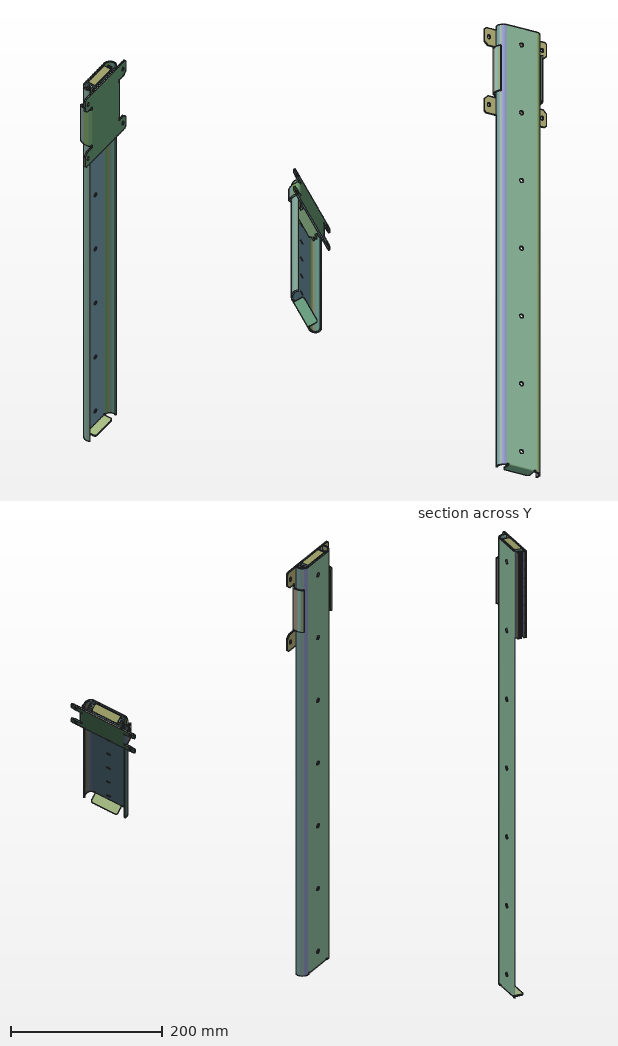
import cadquery as cq
import math

RAIL_LENGTH = 650.0
SLIDE_DEPTH = 18.0

RAIL_THICKNESS = 2.0
RAIL_LIP_X = 14.0
RAIL_WAIST_X = 8.5
RAIL_WAIST_HALF_WIDTH = 34.0
SHOULDER_ANGLE = 49.0
LIP_ANGLE = 118.0
SHOULDER_RADIUS = 8.5
WAIST_RADIUS = 8.5

RAIL_HOLE_DIAMETER = 6.0
RAIL_HOLE_COUNT = 7
RAIL_HOLE_PITCH = 100.0
RAIL_FIRST_HOLE_Z = 25.0

STOP_HALF_WIDTH = 19.5
STOP_REACH_X = 15.5
STOP_BEND_RADIUS = 1.6
STOP_CORNER_RADIUS = 3.0
STOP_RELIEF_WIDTH = 2.0

BRACKET_THICKNESS = 2.0
BRACKET_CENTRE_Z = 584.5
BRACKET_HEIGHT = 125.5
BRACKET_WIDTH = 94.0
EAR_HEIGHT = 25.5
EAR_OUTER_CHAMFER = 2.5
EAR_INNER_CHAMFER = 5.0
EAR_SLOT_WIDTH = 4.0
EAR_SLOT_HEIGHT = 6.0
EAR_SLOT_SPACING_Y = 80.5
EAR_SLOT_SPACING_Z = 100.0

ARM_LENGTH = 66.0
ARM_SPAN = 71.0
ARM_BEND_RADIUS = 4.5
ARM_UPPER_LEAN_X = 8.0
ARM_LOWER_LEAN_X = 4.0
ARM_UPPER_LEAN = 15.0
ARM_LOWER_LEAN = 30.0
HOOK_RETURN_X = 1.0
HOOK_RETURN_ANGLE = 62.0

SLIDER_CORE_X = 2.9
SLIDER_CORE_HALF_WIDTH = 19.0
SLIDER_HALF_WIDTH = 25.5
SLIDER_BASE_THICKNESS = 2.0
RACE_RIB_START_X = 5.0
RACE_RIB_END_X = 11.0
RACE_GROOVE_WIDTH = 2.0
RACE_GROOVE_DEPTH = 4.0

PLATE_X = SLIDE_DEPTH - BRACKET_THICKNESS
BRACKET_TOP_Z = BRACKET_CENTRE_Z + BRACKET_HEIGHT / 2
BRACKET_BOTTOM_Z = BRACKET_CENTRE_Z - BRACKET_HEIGHT / 2
ARM_BOTTOM_Z = BRACKET_CENTRE_Z - ARM_LENGTH / 2
ARM_HALF_SPAN = ARM_SPAN / 2


def cotangent(degrees):
    return 1 / math.tan(math.radians(degrees))


def tangent(degrees):
    return math.tan(math.radians(degrees))


def mirrored(half):
    """Complete a +Y half outline with its mirror image, running from -Y to +Y."""
    return [(x, -y) for x, y in reversed(half)] + half


def inset_line(start, end, distance):
    """Shift a line to its right by a distance; gives a point on it and its direction."""
    length = math.dist(start, end)
    dx = (end[0] - start[0]) / length
    dy = (end[1] - start[1]) / length
    return (start[0] + dy * distance, start[1] - dx * distance), (dx, dy)


def inner_outline(outer, thickness):
    """Offset an open outline by the sheet thickness, with mitred corners."""
    lines = [inset_line(a, b, thickness) for a, b in zip(outer, outer[1:])]
    inner = [lines[0][0]]
    for (p, d), (q, e) in zip(lines, lines[1:]):
        cross = d[0] * e[1] - d[1] * e[0]
        step = ((q[0] - p[0]) * e[1] - (q[1] - p[1]) * e[0]) / cross
        inner.append((p[0] + step * d[0], p[1] + step * d[1]))
    end_x, end_y = outer[-1]
    dx, dy = lines[-1][1]
    inner.append((end_x + dy * thickness, end_y - dx * thickness))
    return inner


def bend_sheet(outer, thickness, bottom_z, length, outer_radii):
    """Extrude a sheet profile along Z and round its bends.

    outer_radii maps the index of an outer corner to the radius on the outside of that bend.
    """
    inner = inner_outline(outer, thickness)
    outline = outer + inner[::-1]
    sheet = cq.Workplane("XY", origin=(0, 0, bottom_z)).polyline(outline).close().extrude(length)
    middle_z = bottom_z + length / 2
    for corner, radius in outer_radii.items():
        for (x, y), bend_radius in ((outer[corner], radius), (inner[corner], radius - thickness)):
            nearest = cq.selectors.NearestToPointSelector((x, y, middle_z))
            sheet = sheet.edges("|Z").edges(nearest).fillet(bend_radius)
    return sheet


def block(x_range, y_range, z_range):
    return cq.Workplane("XY").box(
        x_range[1] - x_range[0],
        y_range[1] - y_range[0],
        z_range[1] - z_range[0],
        centered=False,
    ).translate((x_range[0], y_range[0], z_range[0]))


def rail_profile():
    shoulder_y = RAIL_WAIST_HALF_WIDTH - RAIL_WAIST_X * cotangent(SHOULDER_ANGLE)
    lip_y = RAIL_WAIST_HALF_WIDTH + (RAIL_LIP_X - RAIL_WAIST_X) * cotangent(LIP_ANGLE)
    half = [
        (0, shoulder_y),
        (RAIL_WAIST_X, RAIL_WAIST_HALF_WIDTH),
        (RAIL_LIP_X, lip_y),
    ]
    outer = mirrored(half)
    lower_waist, lower_shoulder, upper_shoulder, upper_waist = 1, 2, 3, 4
    return bend_sheet(
        outer,
        RAIL_THICKNESS,
        0,
        RAIL_LENGTH,
        {
            lower_waist: WAIST_RADIUS,
            lower_shoulder: SHOULDER_RADIUS,
            upper_shoulder: SHOULDER_RADIUS,
            upper_waist: WAIST_RADIUS,
        },
    )


def rail_holes():
    places = [(0, RAIL_FIRST_HOLE_Z + i * RAIL_HOLE_PITCH) for i in range(RAIL_HOLE_COUNT)]
    return (
        cq.Workplane("YZ")
        .pushPoints(places)
        .circle(RAIL_HOLE_DIAMETER / 2)
        .extrude(RAIL_THICKNESS)
    )


def end_stop():
    """Tongue across the lower end, joined to the web by a rounded bend."""
    y_range = (-STOP_HALF_WIDTH, STOP_HALF_WIDTH)
    tongue = block((0, STOP_REACH_X), y_range, (0, RAIL_THICKNESS))
    tongue = tongue.edges("|Z and >X").fillet(STOP_CORNER_RADIUS)
    return tongue.edges("|Y and <X and <Z").fillet(STOP_BEND_RADIUS)


def make_rail():
    rail = rail_profile().cut(rail_holes())
    notch_half_width = STOP_HALF_WIDTH + STOP_RELIEF_WIDTH
    notch = block(
        (0, RAIL_THICKNESS), (-notch_half_width, notch_half_width), (0, RAIL_THICKNESS)
    )
    return rail.cut(notch).union(end_stop())


def hooked_arms():
    """Both arms and the strip of plate between them, bent as one sheet."""
    upper_lean_drop = (ARM_UPPER_LEAN_X - ARM_LOWER_LEAN_X) * tangent(ARM_UPPER_LEAN)
    lower_lean_y = ARM_HALF_SPAN - upper_lean_drop
    tip_y = lower_lean_y - ARM_LOWER_LEAN_X * tangent(ARM_LOWER_LEAN)
    half = [
        (SLIDE_DEPTH, ARM_HALF_SPAN),
        (ARM_UPPER_LEAN_X, ARM_HALF_SPAN),
        (ARM_LOWER_LEAN_X, lower_lean_y),
        (0, tip_y),
        (HOOK_RETURN_X, tip_y - HOOK_RETURN_X * tangent(HOOK_RETURN_ANGLE)),
    ]
    outer = mirrored(half)[::-1]
    upper_bend, lower_bend = len(half) - 1, len(half)
    return bend_sheet(
        outer,
        BRACKET_THICKNESS,
        ARM_BOTTOM_Z,
        ARM_LENGTH,
        {upper_bend: ARM_BEND_RADIUS, lower_bend: ARM_BEND_RADIUS},
    )


def ear_strip(bottom_z, inner_side):
    """A crosswise strip of plate that carries one ear at each end."""
    half_width = BRACKET_WIDTH / 2
    outer_side = "<Z" if inner_side == ">Z" else ">Z"
    strip = block((PLATE_X, SLIDE_DEPTH), (-half_width, half_width), (bottom_z, bottom_z + EAR_HEIGHT))
    strip = strip.faces(inner_side).edges("|X").chamfer(EAR_INNER_CHAMFER)
    return strip.faces(outer_side).edges("|X").chamfer(EAR_OUTER_CHAMFER)


def ear_slots():
    return (
        cq.Workplane("YZ", origin=(PLATE_X, 0, BRACKET_CENTRE_Z))
        .rarray(EAR_SLOT_SPACING_Y, EAR_SLOT_SPACING_Z, 2, 2)
        .slot2D(EAR_SLOT_HEIGHT, EAR_SLOT_WIDTH, 90)
        .extrude(BRACKET_THICKNESS)
    )


def make_bracket():
    neck_half_width = ARM_HALF_SPAN - ARM_BEND_RADIUS
    neck = block(
        (PLATE_X, SLIDE_DEPTH),
        (-neck_half_width, neck_half_width),
        (BRACKET_BOTTOM_Z, BRACKET_TOP_Z),
    )
    bracket = (
        neck.union(hooked_arms())
        .union(ear_strip(BRACKET_BOTTOM_Z, ">Z"))
        .union(ear_strip(BRACKET_TOP_Z - EAR_HEIGHT, "<Z"))
    )
    return bracket.cut(ear_slots())


def make_slider():
    """Solid runner with a grooved race rib along each side; its core rises level with the rail."""
    core_z = (BRACKET_BOTTOM_Z, RAIL_LENGTH)
    side_z = (BRACKET_BOTTOM_Z, BRACKET_TOP_Z)
    full_width = (-SLIDER_HALF_WIDTH, SLIDER_HALF_WIDTH)
    base_x = PLATE_X - SLIDER_BASE_THICKNESS
    core = block((SLIDER_CORE_X, base_x), (-SLIDER_CORE_HALF_WIDTH, SLIDER_CORE_HALF_WIDTH), core_z)
    base = block((base_x, PLATE_X), full_width, side_z)
    ribs = block((RACE_RIB_START_X, RACE_RIB_END_X), full_width, side_z)
    slider = core.union(base).union(ribs)

    groove_centre_x = (RACE_RIB_START_X + RACE_RIB_END_X) / 2
    groove_x = (groove_centre_x - RACE_GROOVE_WIDTH / 2, groove_centre_x + RACE_GROOVE_WIDTH / 2)
    groove_floor_y = SLIDER_HALF_WIDTH - RACE_GROOVE_DEPTH
    for y_range in ((groove_floor_y, SLIDER_HALF_WIDTH), (-SLIDER_HALF_WIDTH, -groove_floor_y)):
        slider = slider.cut(block(groove_x, y_range, side_z))
    return slider


rail = make_rail()
bracket = make_bracket()
slider = make_slider()

result = cq.Compound.makeCompound([
    rail.solids().val(),
    bracket.solids().val(),
    slider.solids().val(),
])